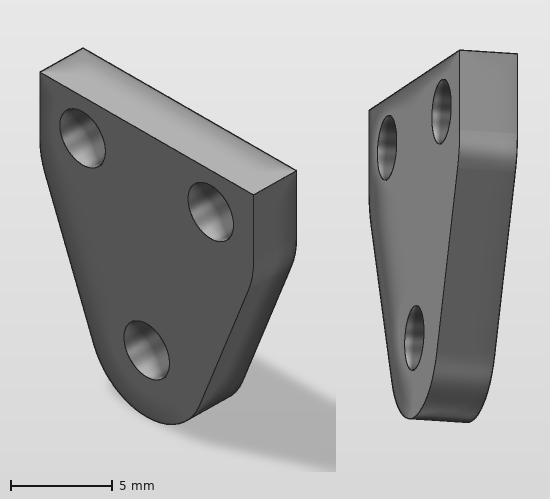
import cadquery as cq
import math

width = 15.0
thickness = 3.0
height = 17.0

shoulder_height = 5.0
shoulder_radius = 5.0
tip_radius = 4.0

hole_diameter = 3.2
upper_hole_spacing = 9.0
upper_hole_drop = 2.5

half_width = width / 2
top_z = height - tip_radius
shoulder_z = top_z - shoulder_height

corner_distance = math.hypot(half_width, shoulder_z)
flank_angle = math.acos(tip_radius / corner_distance) - math.atan2(shoulder_z, half_width)
tangent_x = tip_radius * math.cos(flank_angle)
tangent_z = -tip_radius * math.sin(flank_angle)


def make_plate():
    """Tapered plate, centred on its thickness, with rounded shoulders."""
    plate = (
        cq.Workplane("XZ", origin=(0, thickness / 2, 0))
        .moveTo(-half_width, top_z)
        .lineTo(half_width, top_z)
        .lineTo(half_width, shoulder_z)
        .lineTo(tangent_x, tangent_z)
        .threePointArc((0, -tip_radius), (-tangent_x, tangent_z))
        .lineTo(-half_width, shoulder_z)
        .close()
        .extrude(thickness)
    )
    for side in (-1, 1):
        corner = cq.selectors.NearestToPointSelector((side * half_width, 0, shoulder_z))
        plate = plate.edges("|Y").edges(corner).fillet(shoulder_radius)
    return plate


def make_holes():
    """Cylinders for the two upper holes and the one at the tip."""
    upper_hole_x = upper_hole_spacing / 2
    upper_hole_z = top_z - upper_hole_drop
    centres = [(-upper_hole_x, upper_hole_z), (upper_hole_x, upper_hole_z), (0, 0)]
    return (
        cq.Workplane("XZ", origin=(0, thickness / 2, 0))
        .pushPoints(centres)
        .circle(hole_diameter / 2)
        .extrude(thickness)
    )


result = make_plate().cut(make_holes())